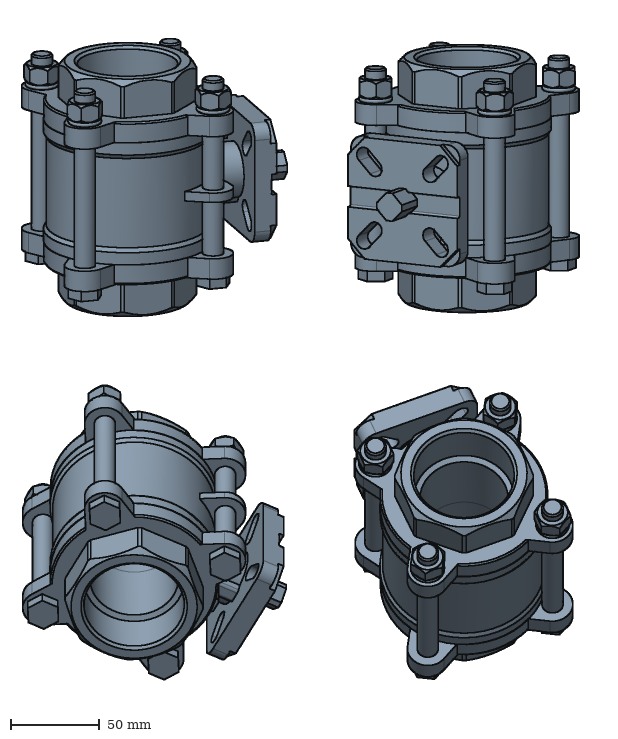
import cadquery as cq
import math


body_diameter = 92.0
flange_diameter = 94.6
collar_diameter = 95.0
valve_length = 140.0
flange_outer_z = 48.0
flange_thickness = 12.0
flange_inner_z = flange_outer_z - flange_thickness
flange_chamfer = 1.0
collar_straight_z = 28.8
collar_end_z = 26.3

octagon_sides = 8
octagon_across_flats = 73.0
octagon_corner_diameter = 78.2
octagon_face_diameter = 71.2
octagon_bevel_angle = 45.0

bore_diameter = 50.0
thread_diameter = 56.66
thread_depth = 26.0
thread_runout = 1.5
thread_mouth_diameter = 60.0

hex_sides = 6
bolt_circle_diameter = 108.0
bolt_offset = bolt_circle_diameter / 2 * math.sqrt(0.5)
bolt_diameter = 12.0
bolt_end_z = 67.0
bolt_chamfer = 1.0
bolt_head_height = 6.5
bolt_head_across_flats = 17.0
nut_across_flats = 18.0
nut_height = 10.8
nut_face_diameter = 17.2
nut_bevel_angle = 45.0
washer_diameter = 19.0
washer_thickness = 2.5

ear_radius = 11.5
ear_side_angle = 60.0

neck_diameter = 32.0
plate_size = 70.0
plate_thickness = 13.0
plate_outer_y = 77.0
plate_inner_y = plate_outer_y - plate_thickness
plate_corner_radius = 8.0
plate_step_depth = 3.5
plate_corner_cut = 10.8
groove_width = 12.0
groove_depth = 3.0
groove_corner_radius = 1.0
slot_width = 9.0
slot_inner_circle = 50.0
slot_outer_circle = 70.0
stem_end_y = 92.5
stem_across_flats = 14.0
stem_corner_width = 16.0

rib_front_y = 52.0
rib_root_y = 35.0
rib_bottom_z = -18.4
rib_crest_width = 8.0
rib_flank_angle = 30.0
rib_edge_radius = 2.2
arm_thickness = 5.5
arm_root_x = 16.0
arm_root_y = 46.6


def cylinder(diameter, z_start, z_end):
    return cq.Workplane("XY").workplane(offset=z_start).circle(diameter / 2).extrude(z_end - z_start)


def point_at(center, radius, angle):
    """Point at a radius and an angle in degrees around a centre."""
    radians = math.radians(angle)
    return (center[0] + radius * math.cos(radians), center[1] + radius * math.sin(radians))


def polygon_prism(sides, across_flats, z_start, z_end, turn):
    """Regular prism along Z with one corner turned by the given angle from X."""
    corner_diameter = across_flats / math.cos(math.pi / sides)
    prism = cq.Workplane("XY").polygon(sides, corner_diameter).extrude(z_end - z_start)
    return prism.rotate((0, 0, 0), (0, 0, 1), turn).translate((0, 0, z_start))


def revolve_profile(points):
    """Solid of revolution about Z from an (r, z) outline."""
    return cq.Workplane("XZ").polyline(points).close().revolve(360, (0, 0, 0), (0, 1, 0))


def mirrored_pair(solid):
    return solid.union(solid.mirror("XY"))


def make_body():
    radius = body_diameter / 2
    collar_radius = collar_diameter / 2
    flange_radius = flange_diameter / 2
    half = revolve_profile([
        (0, 0),
        (radius, 0),
        (radius, collar_end_z),
        (collar_radius, collar_straight_z),
        (collar_radius, flange_inner_z),
        (flange_radius, flange_inner_z),
        (flange_radius, flange_outer_z - flange_chamfer),
        (flange_radius - flange_chamfer, flange_outer_z),
        (0, flange_outer_z),
    ])
    return mirrored_pair(half)


def make_pipe_ends():
    end_z = valve_length / 2
    prism = polygon_prism(octagon_sides, octagon_across_flats, flange_inner_z, end_z, 180 / octagon_sides)
    corner_radius = octagon_corner_diameter / 2
    face_radius = octagon_face_diameter / 2
    bevel_height = (corner_radius - face_radius) * math.tan(math.radians(octagon_bevel_angle))
    envelope = revolve_profile([
        (0, 0),
        (corner_radius, 0),
        (corner_radius, end_z - bevel_height),
        (face_radius, end_z),
        (0, end_z),
    ])
    return mirrored_pair(prism.intersect(envelope))


def make_flow_passage():
    end_z = valve_length / 2
    bore_radius = bore_diameter / 2
    thread_radius = thread_diameter / 2
    mouth_radius = thread_mouth_diameter / 2
    thread_end_z = end_z - thread_depth
    half = revolve_profile([
        (0, 0),
        (bore_radius, 0),
        (bore_radius, thread_end_z - thread_runout),
        (thread_radius, thread_end_z),
        (thread_radius, end_z - (mouth_radius - thread_radius)),
        (mouth_radius, end_z),
        (0, end_z),
    ])
    return mirrored_pair(half)


def make_ears():
    """Four ears on each flange, with flanks tangent to the ear rounding."""
    center = (bolt_offset, bolt_offset)
    upper = point_at(center, ear_radius, 180 - ear_side_angle)
    lower = point_at(center, ear_radius, ear_side_angle - 90)
    tip = point_at(center, ear_radius, 45)
    flank_length = bolt_offset / 2
    upper_root = point_at(upper, flank_length, 270 - ear_side_angle)
    lower_root = point_at(lower, flank_length, 180 + ear_side_angle)
    ear = (
        cq.Workplane("XY")
        .workplane(offset=flange_inner_z)
        .moveTo(*upper_root)
        .lineTo(*upper)
        .threePointArc(tip, lower)
        .lineTo(*lower_root)
        .close()
        .extrude(flange_thickness)
    )
    ears = ear
    for quarter in range(1, 4):
        ears = ears.union(ear.rotate((0, 0, 0), (0, 0, 1), 90 * quarter))
    return mirrored_pair(ears)


def make_nut(z_start, turn):
    nut = polygon_prism(hex_sides, nut_across_flats, z_start, z_start + nut_height, turn)
    face_radius = nut_face_diameter / 2
    corner_radius = nut_across_flats / 2 / math.cos(math.pi / hex_sides)
    bevel_height = (corner_radius - face_radius) * math.tan(math.radians(nut_bevel_angle))
    envelope = revolve_profile([
        (0, z_start),
        (face_radius, z_start),
        (corner_radius, z_start + bevel_height),
        (corner_radius, z_start + nut_height - bevel_height),
        (face_radius, z_start + nut_height),
        (0, z_start + nut_height),
    ])
    return nut.intersect(envelope)


def make_washer():
    """Washer with a fully rounded rim."""
    top_z = flange_outer_z + washer_thickness
    middle_z = flange_outer_z + washer_thickness / 2
    rim_start = washer_diameter / 2 - washer_thickness / 2
    return (
        cq.Workplane("XZ")
        .moveTo(0, flange_outer_z)
        .lineTo(rim_start, flange_outer_z)
        .threePointArc((washer_diameter / 2, middle_z), (rim_start, top_z))
        .lineTo(0, top_z)
        .close()
        .revolve(360, (0, 0, 0), (0, 1, 0))
    )


def make_tie_bolt(nut_turn):
    shank = cylinder(bolt_diameter, -flange_outer_z, bolt_end_z).faces(">Z").chamfer(bolt_chamfer)
    head_end_z = -flange_outer_z - bolt_head_height
    head = polygon_prism(hex_sides, bolt_head_across_flats, head_end_z, -flange_outer_z, 90)
    nut = make_nut(flange_outer_z + washer_thickness, nut_turn)
    return shank.union(head).union(make_washer()).union(nut)


def make_plate():
    """Square actuator plate with stepped corners, a cross groove and diagonal bolt slots."""
    base_thickness = plate_thickness - plate_step_depth
    base = (
        cq.Workplane("XZ", origin=(0, plate_inner_y, 0))
        .rect(plate_size, plate_size)
        .extrude(-base_thickness)
        .edges("|Y")
        .fillet(plate_corner_radius)
    )
    step = (
        cq.Workplane("XZ", origin=(0, plate_inner_y + base_thickness, 0))
        .rect(plate_size, plate_size)
        .extrude(-plate_step_depth)
        .edges("|Y")
        .chamfer(plate_corner_cut)
    )
    groove = (
        cq.Workplane("XY")
        .box(plate_size, groove_depth, groove_width)
        .translate((0, plate_outer_y - groove_depth / 2, 0))
        .edges("|X and <Y")
        .fillet(groove_corner_radius)
    )
    slot_travel = (slot_outer_circle - slot_inner_circle) / 2
    slot_middle = (slot_outer_circle + slot_inner_circle) / 4
    slot = (
        cq.Workplane("XZ", origin=(0, plate_inner_y, 0))
        .center(slot_middle, 0)
        .slot2D(slot_travel + slot_width, slot_width)
        .extrude(-plate_thickness)
    )
    plate = base.union(step).cut(groove)
    for quarter in range(4):
        plate = plate.cut(slot.rotate((0, 0, 0), (0, 1, 0), 45 + 90 * quarter))
    return plate


def make_neck_and_stem():
    neck = cq.Workplane("XZ").circle(neck_diameter / 2).extrude(-plate_inner_y)
    square = (
        cq.Workplane("XZ")
        .rect(stem_across_flats, stem_across_flats)
        .extrude(-stem_end_y)
        .rotate((0, 0, 0), (0, 1, 0), 45)
    )
    corner_trim = cq.Workplane("XZ").rect(stem_corner_width, stem_corner_width).extrude(-stem_end_y)
    return neck.union(square.intersect(corner_trim))


def make_rib_bar(height, length):
    """Bar along +Z with its crest facing +Y at the origin and flanks widening towards -Y."""
    crest = rib_crest_width / 2
    foot = crest + height * math.tan(math.radians(rib_flank_angle))
    return (
        cq.Workplane("XY")
        .polyline([(-crest, 0), (crest, 0), (foot, -height), (-foot, -height)])
        .close()
        .extrude(length)
        .edges("|Z and >Y")
        .fillet(rib_edge_radius)
    )


def make_rib():
    """Rib running down the body from the neck, and along the underside of the neck."""
    body_leg = make_rib_bar(rib_front_y - rib_root_y, flange_inner_z)
    body_leg = body_leg.translate((0, rib_front_y, -flange_inner_z))
    neck_leg = make_rib_bar(-rib_bottom_z, plate_inner_y - body_diameter / 2)
    neck_leg = neck_leg.rotate((0, 0, 0), (1, 0, 0), -90).translate((0, body_diameter / 2, rib_bottom_z))
    return body_leg.union(neck_leg)


def make_arm():
    """Flat arm from the neck that wraps around the +X +Y tie bolt."""
    center = (bolt_offset, bolt_offset)
    root = (arm_root_x, arm_root_y)
    to_center = math.atan2(center[1] - root[1], center[0] - root[0])
    distance = math.dist(root, center)
    normal_angle = math.degrees(to_center + math.pi - math.acos(ear_radius / distance))
    upper = point_at(center, ear_radius, normal_angle)
    lower_angle = ear_side_angle - 90
    lower = point_at(center, ear_radius, lower_angle)
    lower_root = point_at(lower, bolt_offset / 2, 180 + ear_side_angle)
    return (
        cq.Workplane("XY")
        .moveTo(0, arm_root_y)
        .lineTo(*root)
        .lineTo(*upper)
        .threePointArc(point_at(center, ear_radius, 45), lower)
        .lineTo(*lower_root)
        .close()
        .extrude(arm_thickness / 2, both=True)
    )


def make_valve():
    valve = make_body().union(make_pipe_ends()).union(make_ears())
    valve = valve.union(make_neck_and_stem()).union(make_rib()).union(make_arm())
    valve = valve.cut(make_flow_passage())
    valve = valve.union(make_plate())
    for x_side in (-1, 1):
        for y_side in (-1, 1):
            nut_turn = 0 if x_side == y_side else 90
            bolt = make_tie_bolt(nut_turn)
            valve = valve.union(bolt.translate((x_side * bolt_offset, y_side * bolt_offset, 0)))
    return valve


result = make_valve()